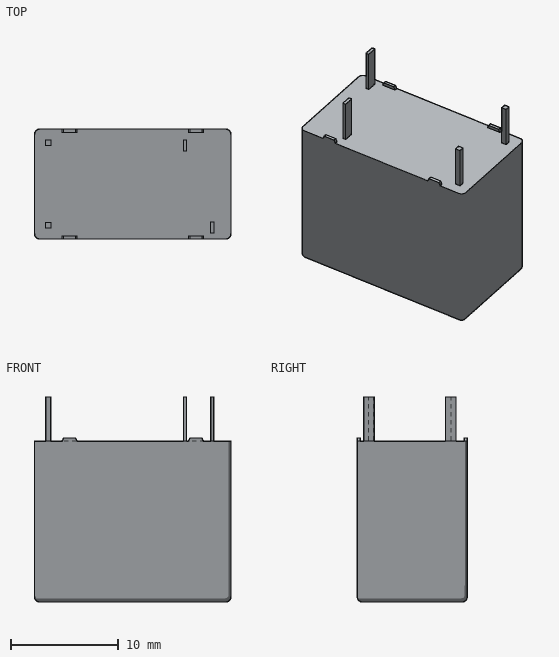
import cadquery as cq

body_length = 18.2
body_width = 10.2
total_height = 19.0
pin_height = 4.08
body_height = total_height - pin_height
edge_radius = 0.5

tab_base_length = 1.4
tab_top_length = 1.1
tab_height = 0.3
tab_thickness = 0.3
tab_offset_x = 5.85

coil_pin_side = 0.5
coil_pin_x = -7.83
coil_pin_offset_y = 3.82
contact_pin_thickness = 0.3
contact_pin_width = 1.0
contact_pin_places = [(4.85, 3.57), (7.37, -4.0)]


def make_body():
    """Case with rounded vertical edges and a rounded lower rim."""
    block = cq.Workplane("XY").box(body_length, body_width, body_height, centered=(True, True, False))
    return block.edges("|Z").fillet(edge_radius).faces("<Z").edges().fillet(edge_radius)


def make_tab(x, side):
    """Trapezoidal tab flush with the long wall on the given side (+1 or -1)."""
    outline = [
        (x - tab_base_length / 2, body_height),
        (x + tab_base_length / 2, body_height),
        (x + tab_top_length / 2, body_height + tab_height),
        (x - tab_top_length / 2, body_height + tab_height),
    ]
    center_y = side * (body_width - tab_thickness) / 2
    return (
        cq.Workplane("XZ", origin=(0, center_y, 0))
        .polyline(outline)
        .close()
        .extrude(tab_thickness / 2, both=True)
    )


def make_pins(places, size_x, size_y):
    """Upright rectangular pins standing on the top of the case."""
    return (
        cq.Workplane("XY", origin=(0, 0, body_height))
        .pushPoints(places)
        .rect(size_x, size_y)
        .extrude(pin_height)
    )


result = make_body()

for tab_x in (-tab_offset_x, tab_offset_x):
    for tab_side in (-1, 1):
        result = result.union(make_tab(tab_x, tab_side))

coil_pin_places = [(coil_pin_x, -coil_pin_offset_y), (coil_pin_x, coil_pin_offset_y)]
result = result.union(make_pins(coil_pin_places, coil_pin_side, coil_pin_side))
result = result.union(make_pins(contact_pin_places, contact_pin_thickness, contact_pin_width))